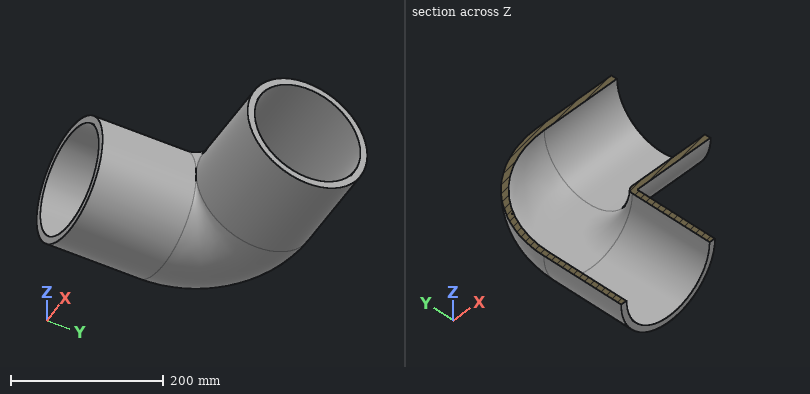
import cadquery as cq

overall_length = 320.0
outer_diameter = 180.0
wall = 10.5
bend_angle = 90.0

outer_radius = outer_diameter / 2
inner_radius = outer_radius - wall
bend_radius = outer_radius
straight_length = overall_length - bend_radius - outer_radius


def elbow(radius):
    """Solid 90-degree elbow: one leg toward -Y, the other toward +X.

    The bend axis is the Z axis, so the legs start at the planes Y = 0 and X = 0.
    """
    inlet = (
        cq.Workplane("XZ")
        .center(-bend_radius, 0)
        .circle(radius)
        .extrude(straight_length)
    )
    outlet = (
        cq.Workplane("YZ")
        .center(bend_radius, 0)
        .circle(radius)
        .extrude(straight_length)
    )
    bend = (
        cq.Workplane("XZ")
        .center(-bend_radius, 0)
        .circle(radius)
        .revolve(bend_angle, (bend_radius, 0, 0), (bend_radius, -1, 0))
    )
    return bend.union(inlet).union(outlet)


result = elbow(outer_radius).cut(elbow(inner_radius))